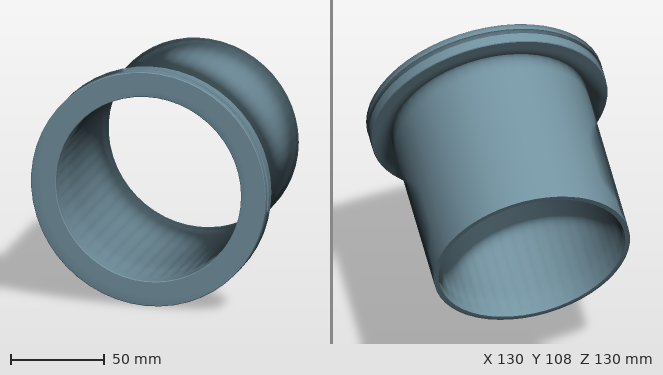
import cadquery as cq

total_length = 108.0
flange_radius = 65.0
flange_thickness = 12.0
tube_radius = 54.0
bore_radius = 51.2

edge_chamfer = 0.4
groove_center = 5.0
groove_radius = 1.4
socket_floor = 6.8

front_y = -total_length / 2
back_y = total_length / 2
flange_back_y = front_y + flange_thickness
socket_floor_y = front_y + socket_floor
groove_y = front_y + groove_center


def revolve_about_y(outline):
    """Revolve a closed (radius, y) outline about the Y axis."""
    return outline.close().revolve(360, (0, 0), (0, 1))


def make_flange():
    """Ring with a half-round groove in its rim and a socket for the tube in its back."""
    outline = (
        cq.Workplane("XY")
        .moveTo(bore_radius + edge_chamfer, front_y)
        .lineTo(flange_radius - edge_chamfer, front_y)
        .lineTo(flange_radius, front_y + edge_chamfer)
        .lineTo(flange_radius, groove_y - groove_radius)
        .threePointArc((flange_radius - groove_radius, groove_y), (flange_radius, groove_y + groove_radius))
        .lineTo(flange_radius, flange_back_y - edge_chamfer)
        .lineTo(flange_radius - edge_chamfer, flange_back_y)
        .lineTo(tube_radius, flange_back_y)
        .lineTo(tube_radius, socket_floor_y)
        .lineTo(bore_radius, socket_floor_y)
        .lineTo(bore_radius, front_y + edge_chamfer)
    )
    return revolve_about_y(outline)


def make_tube():
    """Plain tube standing on the socket floor of the flange."""
    outline = (
        cq.Workplane("XY")
        .moveTo(bore_radius, socket_floor_y)
        .lineTo(tube_radius, socket_floor_y)
        .lineTo(tube_radius, back_y)
        .lineTo(bore_radius, back_y)
    )
    return revolve_about_y(outline)


flange = make_flange()
tube = make_tube()

result = cq.Compound.makeCompound([flange.val(), tube.val()])